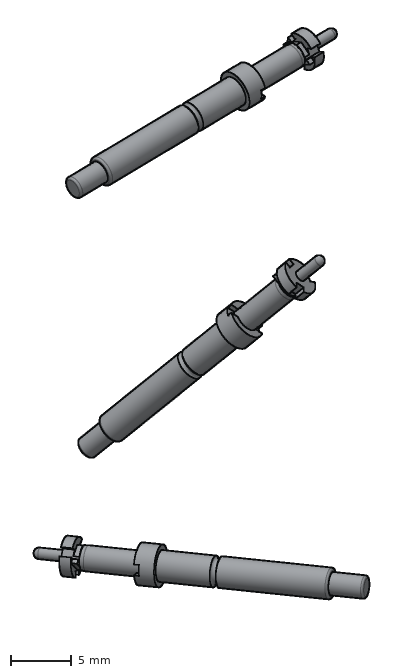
import cadquery as cq

overall_length = 29.1
tail_length = 3.0
groove_position = 13.0
collar_start = 17.98
collar_length = 1.78
key_start = 24.75
head_start = 25.3
head_end = 26.3
neck_taper_length = 0.35

tail_radius = 1.0
barrel_radius = 1.35
collar_radius = 1.8
neck_radius = 1.1
neck_tip_radius = 1.08
head_radius = 1.72
pin_radius = 0.5
groove_radius = 0.25
end_fillet = 0.2

notch_width = 0.95
notch_depth = 0.45
slot_width = 0.8
slot_angles = (30, 150, 270)
key_reach = 1.65

collar_end = collar_start + collar_length
slot_depth = head_radius - neck_radius
taper_start = key_start - neck_taper_length


def section_plane(y):
    """Plane across the axis at station y: local x is X, local y is Z, normal is -Y."""
    return cq.Workplane("XZ", origin=(0, y, 0))


def cylinder(radius, start, end):
    """Cylinder along the Y axis between two stations."""
    return section_plane(start).circle(radius).extrude(start - end)


def make_tail():
    return cylinder(tail_radius, 0, tail_length).faces("<Y").edges().fillet(end_fillet)


def make_barrel():
    """Main barrel with a rounded lower end and a half-round groove."""
    barrel = cylinder(barrel_radius, tail_length, collar_start)
    barrel = barrel.faces("<Y").edges().fillet(end_fillet)
    groove = (
        cq.Workplane("XY")
        .center(barrel_radius, groove_position)
        .circle(groove_radius)
        .revolve(360, (-barrel_radius, 0, 0), (-barrel_radius, 1, 0))
    )
    return barrel.cut(groove)


def make_collar():
    """Collar with a notch across its front end on the -X and +X sides."""
    collar = cylinder(collar_radius, collar_start, collar_end)
    notch_start = collar_end - notch_depth
    notch = cq.Workplane("XY").box(2 * collar_radius, notch_depth, notch_width)
    notch = notch.translate((0, notch_start + notch_depth / 2, 0))
    return collar.cut(notch)


def make_neck():
    """Round neck that tapers slightly towards the key."""
    taper = (
        section_plane(taper_start)
        .circle(neck_radius)
        .workplane(offset=-neck_taper_length)
        .circle(neck_tip_radius)
        .loft()
    )
    return cylinder(neck_radius, collar_start, taper_start).union(taper)


def make_head():
    """Round head on a diamond key, both cut by three radial slots with flat floors."""
    key_outline = [(key_reach, 0), (0, neck_radius), (-key_reach, 0), (0, -neck_radius)]
    key = section_plane(key_start).polyline(key_outline).close().extrude(key_start - head_start)
    head = cylinder(head_radius, head_start, head_end).union(key)

    slot_length = head_end - key_start
    slot_center = (neck_radius + slot_depth / 2, key_start + slot_length / 2, 0)
    for angle in slot_angles:
        slot = cq.Workplane("XY").box(slot_depth, slot_length, slot_width)
        slot = slot.translate(slot_center)
        head = head.cut(slot.rotate((0, 0, 0), (0, 1, 0), -angle))
    return head


def make_pin():
    """Contact pin with a hemispherical tip."""
    tip_center = overall_length - pin_radius
    tip = cq.Workplane("XY").sphere(pin_radius).translate((0, tip_center, 0))
    return cylinder(pin_radius, head_end, tip_center).union(tip)


result = (
    make_tail()
    .union(make_barrel())
    .union(make_collar())
    .union(make_neck())
    .union(make_head())
    .union(make_pin())
)